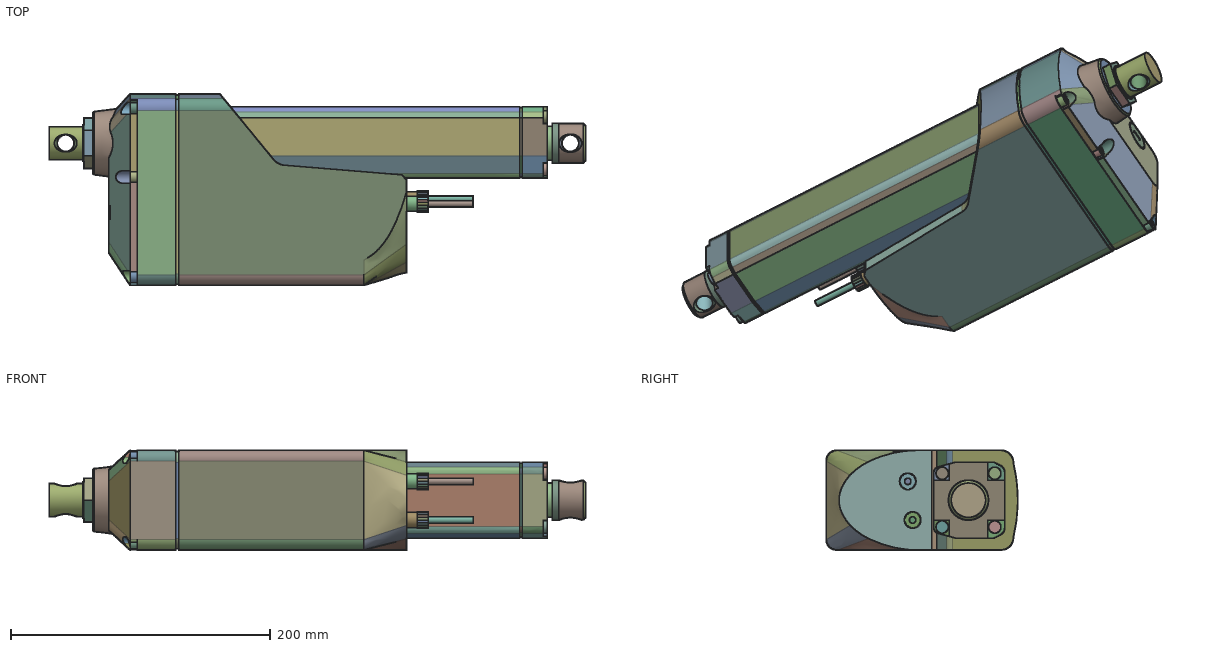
import cadquery as cq
import math

TOTAL_LENGTH = 414.5

HOUSING_HALF_HEIGHT = 38.5
HOUSING_MAX_Y = 38.0
HOUSING_WIDTH = 148.0
HOUSING_MIN_Y = HOUSING_MAX_Y - HOUSING_WIDTH
HOUSING_RADIUS = 8.3
BULGE = 3.5
BULGE_EDGE_DROP = 10.0
TOP_EDGE_Y = 25.3
NOSE_FACE_X = 46.0
NOSE_BASE_X = 62.5
LID_STEP_X = 68.0
LID_STEP_DEPTH = 0.5
LID_GROOVE_X = 98.0
LID_GROOVE_WIDTH = 2.5
GROOVE_DEPTH = 1.0
TAIL_START_X = 243.0
TAIL_END_X = 276.0

NOSE_MIN_Y = -84.5
NOSE_MAX_Y = 20.0
NOSE_HALF_HEIGHT = 23.2

WAIST_START_X = 132.0
WAIST_CORNER_X = 176.5
WAIST_CORNER_Y = -16.5
WAIST_CORNER_RADIUS = 12.5
WAIST_END_Y = -24.5
TAIL_EDGE_RADIUS = 3.7

TAIL_BACK_Y = -33.0
TAIL_SHOULDER_START_Y = -90.0
TAIL_SHOULDER_END_Y = -37.5
TAIL_MIN_Y = -100.0
TAIL_MID_FRACTION = 0.6
TAIL_MID_SHOULDER_Y = -70.5
TAIL_ELLIPSE_ANGLES = (70, 50, 40, 30, 0)

TUBE_MIN_Y = -27.0
TUBE_MAX_Y = 28.0
TUBE_HALF_HEIGHT = 29.5
TUBE_SIDE_HALF_HEIGHT = 20.5
TUBE_START_X = 103.5
TUBE_END_X = 384.5
TUBE_RIDGE_Y = -9.5
TUBE_SLOPE_END_Y = -23.2
TUBE_SLOPE_END_Z = 25.5
TUBE_FAR_RIDGE_Y = 19.5
TUBE_FAR_SLOPE_END_Y = 24.5
TUBE_FAR_SLOPE_END_Z = 27.0
TUBE_GROOVE_X = 363.5
TUBE_GROOVE_WIDTH = 1.5
TUBE_NOTCH_Y = 15.0
TUBE_NOTCH_Z = 15.5
TUBE_NOTCH_DEPTH = 3.5
TUBE_SCREW_DIAMETER = 9.5
TUBE_SCREW_Y = 20.5
TUBE_SCREW_Z = 20.7

SCREW_Y = (27.0, -26.0, -103.2)
SCREW_Z = 33.0
SCREW_HEAD_DIAMETER = 8.5
SCREW_POCKET_DIAMETER = 9.5
SCREW_RELIEF_DIAMETER = 13.0
SCREW_SOCKET_DIAMETER = 5.0
SCREW_SOCKET_DEPTH = 2.5

PLUG_Y = -53.5
PLUG_Z = 13.3
PLUG_DIAMETER = 21.0
PLUG_GAP = 1.0
PLUG_GAP_DEPTH = 1.2
PLUG_SLOT_LENGTH = 8.5
PLUG_SLOT_WIDTH = 1.2

BOSS_FRONT_X = 33.5
BOSS_BACK_X = 58.0
BOSS_FRONT_RADIUS = 24.5
BOSS_BACK_RADIUS = 27.5
BOSS_CHAMFER = 1.2
NUT_FRONT_X = 27.0
NUT_FLATS = 34.0
NUT_TURN = 30
EYE_DIAMETER = 25.5
EYE_COLLAR_X = 26.0
EYE_COLLAR_DIAMETER = 28.0
EYE_HOLE_DIAMETER = 13.0
EYE_COUNTERSINK_DIAMETER = 17.5
EYE_HOLE_X = 13.0

ROD_NECK_DIAMETER = 26.5
ROD_COLLAR_X = 388.5
ROD_COLLAR_END_X = 393.5
ROD_COLLAR_DIAMETER = 31.0
ROD_EYE_DIAMETER = 30.5
ROD_CHAMFER = 2.0
ROD_HOLE_X = 402.5

GLAND_POSITIONS = ((-47.0, 14.5), (-43.0, -15.5))
GLAND_NECK_DIAMETER = 11.5
GLAND_NUT_DIAMETER = 13.0
GLAND_NUT_SIDES = 18
GLAND_NUT_X = 284.5
GLAND_NUT_END_X = 292.5
CABLE_DIAMETER = 5.0
CABLE_END_X = 327.5

DIAGONAL = math.sqrt(0.5)
CLEARANCE = 4.0


def cylinder_x(diameter, start_x, end_x, y=0.0, z=0.0):
    """Round bar along X."""
    plane = cq.Workplane("YZ", origin=(start_x, y, z))
    return plane.circle(diameter / 2).extrude(end_x - start_x)


def block(x_range, y_range, z_range):
    """Box between the given limits."""
    (x0, x1), (y0, y1), (z0, z1) = x_range, y_range, z_range
    return cq.Workplane("XY").box(x1 - x0, y1 - y0, z1 - z0, centered=False).translate((x0, y0, z0))


def housing_outline(x, min_y, max_y, half_height, inset=0.0):
    """Rounded cross-section of the housing at one X, with a bowed +Y side."""
    radius = HOUSING_RADIUS
    low = min_y + inset
    high = max_y - inset
    top = half_height - inset
    side = high - BULGE
    flat_end = max_y - (HOUSING_MAX_Y - TOP_EDGE_Y)
    side_top = top - BULGE_EDGE_DROP
    mid_y = flat_end + (side - flat_end) * DIAGONAL
    mid_z = side_top + BULGE_EDGE_DROP * DIAGONAL
    corner = radius * (1 - DIAGONAL)
    return (
        cq.Workplane("YZ", origin=(x, 0, 0))
        .moveTo(low + radius, top)
        .lineTo(flat_end, top)
        .threePointArc((mid_y, mid_z), (side, side_top))
        .threePointArc((high, 0), (side, -side_top))
        .threePointArc((mid_y, -mid_z), (flat_end, -top))
        .lineTo(low + radius, -top)
        .threePointArc((low + corner, -top + corner), (low, -top + radius))
        .lineTo(low, top - radius)
        .threePointArc((low + corner, top - corner), (low + radius, top))
        .close()
    )


def full_outline(x, inset=0.0):
    """Full-size housing cross-section, optionally shrunk by an inset."""
    return housing_outline(x, HOUSING_MIN_Y, HOUSING_MAX_Y, HOUSING_HALF_HEIGHT, inset)


def make_nose():
    """Tapered front between the nose face and the full cross-section."""
    face = housing_outline(NOSE_FACE_X, NOSE_MIN_Y, NOSE_MAX_Y, NOSE_HALF_HEIGHT).val()
    base = full_outline(NOSE_BASE_X).val()
    return cq.Workplane(cq.Solid.makeLoft([face, base], True))


def tail_wire(x, shoulder_y, points):
    """Closed tail section: flat top, then rounded through the points down to Z = 0, mirrored below."""
    top = HOUSING_HALF_HEIGHT
    shoulder_mid, corner_start, corner_mid, corner_end, side_mid = points
    return (
        cq.Workplane("YZ", origin=(x, 0, 0))
        .moveTo(TAIL_BACK_Y, top)
        .lineTo(shoulder_y, top)
        .spline([shoulder_mid, corner_start], includeCurrent=True)
        .spline([corner_mid, corner_end], includeCurrent=True)
        .spline([side_mid, (corner_end[0], -corner_end[1])], includeCurrent=True)
        .spline([(corner_mid[0], -corner_mid[1]), (corner_start[0], -corner_start[1])], includeCurrent=True)
        .spline([(shoulder_mid[0], -shoulder_mid[1]), (shoulder_y, -top)], includeCurrent=True)
        .lineTo(TAIL_BACK_Y, -top)
        .close()
        .val()
    )


def make_tail():
    """Tail whose -Y side changes from the housing section to a half ellipse."""
    top = HOUSING_HALF_HEIGHT
    radius = HOUSING_RADIUS
    corner = radius * (1 - DIAGONAL)
    start = (
        ((HOUSING_MIN_Y + radius + TAIL_SHOULDER_START_Y) / 2, top),
        (HOUSING_MIN_Y + radius, top),
        (HOUSING_MIN_Y + corner, top - corner),
        (HOUSING_MIN_Y, top - radius),
        (HOUSING_MIN_Y, 0),
    )
    reach = TAIL_SHOULDER_END_Y - TAIL_MIN_Y

    def on_ellipse(degrees):
        angle = math.radians(degrees)
        return (TAIL_SHOULDER_END_Y - reach * math.cos(angle), top * math.sin(angle))

    end = tuple(on_ellipse(degrees) for degrees in TAIL_ELLIPSE_ANGLES)

    def between(a, b):
        return a + TAIL_MID_FRACTION * (b - a)

    middle = tuple((between(y0, y1), between(z0, z1)) for (y0, z0), (y1, z1) in zip(start, end))
    middle_x = between(TAIL_START_X, TAIL_END_X)
    wires = [
        tail_wire(TAIL_START_X, TAIL_SHOULDER_START_Y, start),
        tail_wire(middle_x, TAIL_MID_SHOULDER_Y, middle),
        tail_wire(TAIL_END_X, TAIL_SHOULDER_END_Y, end),
    ]
    rounded = cq.Workplane(cq.Solid.makeLoft(wires))
    plain = block((TAIL_START_X, TAIL_END_X), (TAIL_BACK_Y, WAIST_CORNER_Y), (-top, top))
    return rounded.union(plain)


def make_waist_cut():
    """Prism that removes the +Y side of the housing beside the tube."""
    outside_y = HOUSING_MAX_Y + CLEARANCE
    outside_x = TAIL_END_X + CLEARANCE
    outside_z = HOUSING_HALF_HEIGHT + CLEARANCE
    slope = (WAIST_CORNER_X - WAIST_START_X) / (HOUSING_MAX_Y - WAIST_CORNER_Y)
    prism = (
        cq.Workplane("XY", origin=(0, 0, -outside_z))
        .moveTo(WAIST_START_X - slope * CLEARANCE, outside_y)
        .lineTo(WAIST_CORNER_X, WAIST_CORNER_Y)
        .lineTo(TAIL_END_X - TAIL_EDGE_RADIUS, WAIST_END_Y)
        .lineTo(TAIL_END_X, WAIST_END_Y - TAIL_EDGE_RADIUS)
        .lineTo(outside_x, WAIST_END_Y - TAIL_EDGE_RADIUS)
        .lineTo(outside_x, outside_y)
        .close()
        .extrude(2 * outside_z)
    )
    corner = cq.selectors.NearestToPointSelector((WAIST_CORNER_X, WAIST_CORNER_Y, 0))
    return prism.edges("|Z").edges(corner).fillet(WAIST_CORNER_RADIUS)


def make_lid_groove():
    """Shallow band around the joint between lid and housing."""
    band = full_outline(LID_GROOVE_X).extrude(LID_GROOVE_WIDTH)
    core = full_outline(LID_GROOVE_X, GROOVE_DEPTH).extrude(LID_GROOVE_WIDTH)
    return band.cut(core)


def cut_screws(housing):
    """Lid screw pockets along the top and bottom edges, each with its screw head."""
    half_width = SCREW_POCKET_DIAMETER / 2
    for y in SCREW_Y:
        for z, edge_z in ((SCREW_Z, HOUSING_HALF_HEIGHT), (-SCREW_Z, -HOUSING_HALF_HEIGHT)):
            pocket = cylinder_x(SCREW_POCKET_DIAMETER, NOSE_FACE_X, NOSE_BASE_X, y, z)
            mouth = block((NOSE_FACE_X, NOSE_BASE_X), (y - half_width, y + half_width), sorted((z, edge_z)))
            relief = cylinder_x(SCREW_RELIEF_DIAMETER, NOSE_BASE_X, LID_STEP_X, y, z)
            head = cylinder_x(SCREW_HEAD_DIAMETER, NOSE_BASE_X, LID_STEP_X, y, z)
            socket = (
                cq.Workplane("YZ", origin=(NOSE_BASE_X, y, z))
                .polygon(6, SCREW_SOCKET_DIAMETER)
                .extrude(SCREW_SOCKET_DEPTH)
            )
            housing = housing.cut(pocket).cut(mouth).cut(relief).union(head.cut(socket))
    return housing


def make_plug_marks():
    """Ring gap around the plug and the slot in its face."""
    depth_x = NOSE_FACE_X + PLUG_GAP_DEPTH
    outer = cylinder_x(PLUG_DIAMETER + 2 * PLUG_GAP, NOSE_FACE_X, depth_x, PLUG_Y, PLUG_Z)
    inner = cylinder_x(PLUG_DIAMETER, NOSE_FACE_X, depth_x, PLUG_Y, PLUG_Z)
    slot = block(
        (NOSE_FACE_X, depth_x),
        (PLUG_Y - PLUG_SLOT_LENGTH / 2, PLUG_Y + PLUG_SLOT_LENGTH / 2),
        (PLUG_Z - PLUG_SLOT_WIDTH / 2, PLUG_Z + PLUG_SLOT_WIDTH / 2),
    )
    return outer.cut(inner).union(slot)


def make_housing():
    """Gear housing with nose, waist and tail."""
    housing = full_outline(NOSE_BASE_X).extrude(TAIL_START_X - NOSE_BASE_X)
    for side in (1, -1):
        step_z = sorted((side * (HOUSING_HALF_HEIGHT - LID_STEP_DEPTH), side * HOUSING_HALF_HEIGHT))
        step = block((NOSE_BASE_X, LID_STEP_X), (HOUSING_MIN_Y, HOUSING_MAX_Y), step_z)
        housing = housing.cut(step)
    housing = housing.union(make_nose()).union(make_tail())
    housing = housing.cut(make_waist_cut()).cut(make_lid_groove())
    return cut_screws(housing).cut(make_plug_marks())


def tube_section(x, inset=0.0):
    """Cross-section of the tube: flat top, a slope to each side and rounded shoulders."""
    top = TUBE_HALF_HEIGHT - inset
    low = TUBE_MIN_Y + inset
    high = TUBE_MAX_Y - inset
    side = TUBE_SIDE_HALF_HEIGHT
    slope_z = TUBE_SLOPE_END_Z - inset
    far_z = TUBE_FAR_SLOPE_END_Z - inset
    near_tangent = (TUBE_RIDGE_Y - TUBE_SLOPE_END_Y, top - slope_z)
    far_tangent = (TUBE_FAR_SLOPE_END_Y - TUBE_FAR_RIDGE_Y, far_z - top)
    upper = (
        cq.Workplane("YZ", origin=(x, 0, 0))
        .moveTo(low, 0)
        .lineTo(low, side)
        .spline([(TUBE_SLOPE_END_Y, slope_z)], [(0, 1), near_tangent], includeCurrent=True)
        .lineTo(TUBE_RIDGE_Y, top)
        .lineTo(TUBE_FAR_RIDGE_Y, top)
        .lineTo(TUBE_FAR_SLOPE_END_Y, far_z)
        .spline([(high, side)], [far_tangent, (0, -1)], includeCurrent=True)
        .lineTo(high, 0)
    )
    return upper.mirrorX()


def make_tube():
    """Outer tube with its end-cap joint, and a notch with a screw head at each corner of the end face."""
    tube = tube_section(TUBE_START_X).extrude(TUBE_END_X - TUBE_START_X)
    band = tube_section(TUBE_GROOVE_X).extrude(TUBE_GROOVE_WIDTH)
    core = tube_section(TUBE_GROOVE_X, GROOVE_DEPTH).extrude(TUBE_GROOVE_WIDTH)
    tube = tube.cut(band.cut(core))
    notch_x = TUBE_END_X - TUBE_NOTCH_DEPTH
    for y_side in (1, -1):
        for z_side in (1, -1):
            notch = block(
                (notch_x, TUBE_END_X),
                sorted((y_side * TUBE_NOTCH_Y, y_side * TUBE_MAX_Y)),
                sorted((z_side * TUBE_NOTCH_Z, z_side * TUBE_HALF_HEIGHT)),
            )
            head = cylinder_x(
                TUBE_SCREW_DIAMETER, notch_x, TUBE_END_X, y_side * TUBE_SCREW_Y, z_side * TUBE_SCREW_Z
            )
            tube = tube.cut(notch).union(head)
    return tube


def make_cross_hole(x, bar_diameter):
    """Hole along Z through a round bar, with a 45 degree countersink at both ends."""
    bar_radius = bar_diameter / 2
    hole_radius = EYE_HOLE_DIAMETER / 2
    sink_radius = EYE_COUNTERSINK_DIAMETER / 2
    sink_start = bar_radius - (sink_radius - hole_radius)
    profile = (
        cq.Workplane("XZ")
        .moveTo(0, -bar_radius)
        .lineTo(sink_radius, -bar_radius)
        .lineTo(hole_radius, -sink_start)
        .lineTo(hole_radius, sink_start)
        .lineTo(sink_radius, bar_radius)
        .lineTo(0, bar_radius)
        .close()
    )
    return profile.revolve(360, (0, 0, 0), (0, 1, 0)).translate((x, 0, 0))


def make_fixed_eye():
    """Fixed eye, its collar, hexagonal nut and the conical boss on the nose."""
    eye = cylinder_x(EYE_DIAMETER, 0, NUT_FRONT_X).cut(make_cross_hole(EYE_HOLE_X, EYE_DIAMETER))
    collar = cylinder_x(EYE_COLLAR_DIAMETER, EYE_COLLAR_X, NUT_FRONT_X)
    nut = (
        cq.Workplane("YZ", origin=(NUT_FRONT_X, 0, 0))
        .transformed(rotate=(0, 0, NUT_TURN))
        .polygon(6, NUT_FLATS, circumscribed=True)
        .extrude(BOSS_FRONT_X - NUT_FRONT_X)
    )
    boss = (
        cq.Workplane("XY")
        .moveTo(BOSS_FRONT_X, 0)
        .lineTo(BOSS_FRONT_X, BOSS_FRONT_RADIUS - BOSS_CHAMFER)
        .lineTo(BOSS_FRONT_X + BOSS_CHAMFER, BOSS_FRONT_RADIUS)
        .lineTo(BOSS_BACK_X, BOSS_BACK_RADIUS)
        .lineTo(BOSS_BACK_X, 0)
        .close()
        .revolve(360, (0, 0, 0), (1, 0, 0))
    )
    return eye.union(collar).union(nut).union(boss)


def make_cable(y, z):
    """Cable gland neck, many-sided nut and cable."""
    neck = cylinder_x(GLAND_NECK_DIAMETER, TAIL_END_X - CLEARANCE, GLAND_NUT_X, y, z)
    nut = (
        cq.Workplane("YZ", origin=(GLAND_NUT_X, y, z))
        .polygon(GLAND_NUT_SIDES, GLAND_NUT_DIAMETER)
        .extrude(GLAND_NUT_END_X - GLAND_NUT_X)
    )
    cable = cylinder_x(CABLE_DIAMETER, GLAND_NUT_END_X, CABLE_END_X, y, z)
    return neck.union(nut).union(cable)


def make_actuator_body():
    """Housing, tube, fixed eye and cables."""
    body = make_housing().union(make_fixed_eye()).union(make_tube())
    for y, z in GLAND_POSITIONS:
        body = body.union(make_cable(y, z))
    return body


def make_rod_end():
    """Moving rod end, seated on the end face of the tube."""
    neck = cylinder_x(ROD_NECK_DIAMETER, TUBE_END_X, ROD_COLLAR_X)
    collar = cylinder_x(ROD_COLLAR_DIAMETER, ROD_COLLAR_X, ROD_COLLAR_END_X)
    eye = cylinder_x(ROD_EYE_DIAMETER, ROD_COLLAR_END_X, TOTAL_LENGTH).faces(">X").chamfer(ROD_CHAMFER)
    return neck.union(collar).union(eye).cut(make_cross_hole(ROD_HOLE_X, ROD_EYE_DIAMETER))


actuator_body = make_actuator_body()
rod_end = make_rod_end()

result = cq.Compound.makeCompound([actuator_body.val(), rod_end.val()])